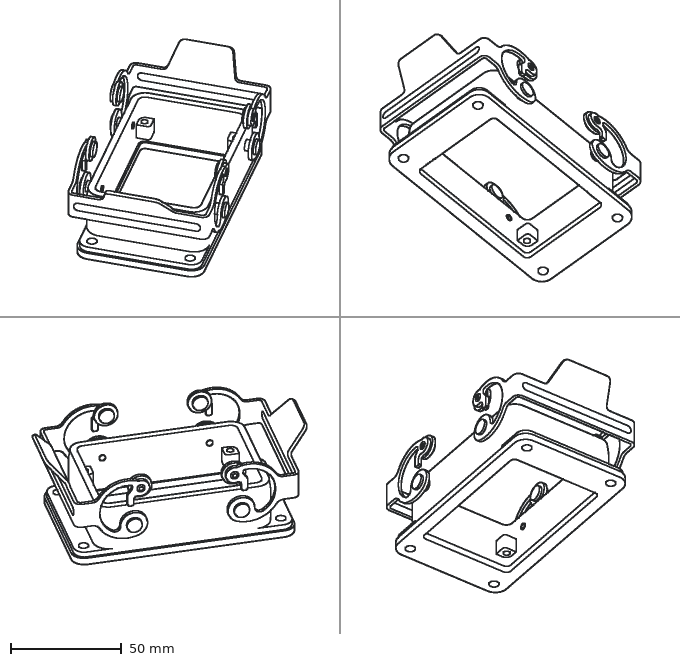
import cadquery as cq
import math

base_half_x = 29.8
base_half_y = 52.1
base_corner = 6.1
base_height = 3.4
flange_step = 1.1
flange_top = 6.0
screw_x = 23.1
screw_y = 46.0
screw_diameter = 4.5

body_half_x = base_half_x - flange_step
body_half_y = 41.4
body_corner = 7.2
shoulder_z = 23.3
rim_z = 28.0
rim_inset = 0.6
rim_width = 3.3
rim_crown = 0.5

opening_half_x = 23.7
opening_half_y = 36.1
opening_corner = 2.3
cavity_draft = 0.1
cavity_steps_z = (15.8, 22.5)

boss_x = 21.6
boss_y = 33.9
boss_reach_x = 3.5
boss_reach_y = 3.2
boss_bottom = 9.3
boss_top = 16.7
boss_corner = 1.5
boss_hole_diameter = 3.1

pivot_y = 25.0
pivot_z = 20.3
pin_radius = 2.6
head_radius = 3.5
head_height = 1.1
tail_radius = 1.5
tail_height = 0.4

lever_outer_x = 33.2
lever_outer_y = 52.4
sheet = 1.6
bend_radius = 3.1
strap_height = 12.3
strap_z = 28.7
lever_inner_x = lever_outer_x - sheet
strap_bottom = strap_z - strap_height / 2
strap_top = strap_z + strap_height / 2

bead_half_width = 2.1
bead_depth = 0.5
bead_half_length = 29.8

ring_y = 28.2
ring_outer = 15.3
ring_inner = 12.8
eye_radius = ring_outer - math.hypot(ring_y - pivot_y, strap_z - pivot_z)
arm_end_y = 21.9
arm_end_z = 39.2
arm_end_radius = 4.0
leg_back_y = 28.0
leg_front_y = 25.2
leg_bottom = 30.3
leg_shoulder = 36.5
strap_blend = 3.5
throat_blend = 2.5
hook_blend = 1.1
leg_blend = 1.8
leg_corner = 0.6

roller_radius = 5.5
roller_width = 1.6
button_radius = 3.5
button_height = 1.2
rivet_radius = 1.8
rivet_height = 0.5
rivet_tip_radius = 1.0
rivet_bevel = 0.4

tab_angle = 49.1
tab_tip_y = 61.4
tab_tip_half = 12.2
tab_side_slope = 0.36
tab_corner = 3.0
tab_flare = 2.7
tab_bend_radius = 1.7


def rounded_block(half_x, half_y, corner, bottom, top, inset=0.0):
    """Upright block with rounded corners, drawn in by `inset` towards its top."""
    height = top - bottom
    outline = cq.Sketch().rect(2 * half_x, 2 * half_y).vertices().fillet(corner)
    draft = math.degrees(math.atan2(inset, height))
    return cq.Workplane("XY").workplane(offset=bottom).placeSketch(outline).extrude(height, taper=draft)


def x_cylinder(radius, y, z, x_start, x_end):
    """Cylinder along X between two X positions."""
    return cq.Workplane("YZ", origin=(x_start, 0, 0)).center(y, z).circle(radius).extrude(x_end - x_start)


def both_sides(shape):
    """The shape on the +X side together with its mirror image on the -X side."""
    return shape.union(shape.mirror("YZ"))


def rim_crown_ring():
    """Low rounded crown that runs around the top of the housing wall."""
    inset = rim_inset + rim_width / 2
    side = body_half_x - inset
    end = body_half_y - inset
    corner = body_corner - inset
    path = (
        cq.Workplane("XY", origin=(0, 0, rim_z))
        .moveTo(side, 0)
        .lineTo(side, end - corner)
        .radiusArc((side - corner, end), -corner)
        .lineTo(corner - side, end)
        .radiusArc((-side, end - corner), -corner)
        .lineTo(-side, corner - end)
        .radiusArc((corner - side, -end), -corner)
        .lineTo(side - corner, -end)
        .radiusArc((side, corner - end), -corner)
        .close()
    )
    return (
        cq.Workplane("XZ")
        .moveTo(side - rim_width / 2, rim_z)
        .threePointArc((side, rim_z + rim_crown), (side + rim_width / 2, rim_z))
        .close()
        .sweep(path)
    )


def cavity():
    """Opening through the base and the space above its ledge, which widens in steps of draft."""
    lower_step, upper_step = cavity_steps_z
    top_inset = rim_inset + rim_width

    def room(inset, bottom, top, draft):
        half_x = body_half_x - inset
        half_y = body_half_y - inset
        return rounded_block(half_x, half_y, body_corner - inset, bottom, top, -draft)

    opening = rounded_block(opening_half_x, opening_half_y, opening_corner, 0, rim_z)
    lower_room = room(top_inset + 2 * cavity_draft, base_height, lower_step, 0)
    middle_room = room(top_inset + 2 * cavity_draft, lower_step, upper_step, cavity_draft)
    mouth = room(top_inset + cavity_draft, upper_step, rim_z, cavity_draft)
    return opening.union(lower_room).union(middle_room).union(mouth)


def corner_boss(x_sign, y_sign):
    """Screw boss that fills one corner of the cavity."""
    boss_inset = rim_inset + rim_width / 2
    inner_x = boss_x - boss_reach_x
    inner_y = boss_y - boss_reach_y
    outer_x = body_half_x - boss_inset
    outer_y = body_half_y - boss_inset
    corner_point = (x_sign * inner_x, y_sign * inner_y, boss_bottom)
    size_x = outer_x - inner_x
    size_y = outer_y - inner_y
    block = (
        cq.Workplane("XY", origin=(0, 0, boss_bottom))
        .center(x_sign * (inner_x + size_x / 2), y_sign * (inner_y + size_y / 2))
        .rect(size_x, size_y)
        .extrude(boss_top - boss_bottom)
        .edges("|Z")
        .edges(cq.NearestToPointSelector(corner_point))
        .fillet(boss_corner)
    )
    envelope = rounded_block(outer_x, outer_y, body_corner - boss_inset, boss_bottom, boss_top)
    hole = (
        cq.Workplane("XY", origin=(x_sign * boss_x, y_sign * boss_y, boss_bottom))
        .circle(boss_hole_diameter / 2)
        .extrude(boss_top - boss_bottom)
    )
    return block.intersect(envelope).cut(hole)


def pivot_pins(y):
    """Pair of headed pins that carry one lever, with their tails showing inside the wall."""
    shaft = x_cylinder(pin_radius, y, pivot_z, body_half_x - rim_width / 2, lever_outer_x)
    head = x_cylinder(head_radius, y, pivot_z, lever_outer_x, lever_outer_x + head_height)
    wall_face_x = body_half_x - rim_inset - rim_width - 2 * cavity_draft
    tail = x_cylinder(tail_radius, y, pivot_z, wall_face_x - tail_height, body_half_x)
    return both_sides(shaft.union(head).union(tail))


def make_housing():
    """Flanged frame with its corner bosses and pivot pins."""
    base = rounded_block(base_half_x, base_half_y, base_corner, 0, base_height)
    flange = rounded_block(
        base_half_x - flange_step, base_half_y - flange_step, base_corner - flange_step, 0, flange_top
    )
    walls = rounded_block(body_half_x, body_half_y, body_corner, 0, shoulder_z)
    rim = rounded_block(body_half_x, body_half_y, body_corner, shoulder_z, rim_z, rim_inset)
    body = base.union(flange).union(walls).union(rim).cut(cavity()).union(rim_crown_ring())
    screw_holes = (
        cq.Workplane("XY")
        .rect(2 * screw_x, 2 * screw_y, forConstruction=True)
        .vertices()
        .circle(screw_diameter / 2)
        .extrude(flange_top)
    )
    body = body.cut(screw_holes)
    for x_sign in (-1, 1):
        for y_sign in (-1, 1):
            body = body.union(corner_boss(x_sign, y_sign))
    for y_sign in (-1, 1):
        body = body.union(pivot_pins(y_sign * pivot_y))
    return body


def circle_crossing(y_a, z_a, radius_a, y_b, z_b, radius_b, side):
    """Crossing point of two circles, on the left (+1) or right (-1) of the way from a to b."""
    distance = math.hypot(y_b - y_a, z_b - z_a)
    along = (distance**2 + radius_a**2 - radius_b**2) / (2 * distance)
    across = side * math.sqrt(radius_a**2 - along**2)
    step_y = (y_b - y_a) / distance
    step_z = (z_b - z_a) / distance
    return (y_a + along * step_y - across * step_z, z_a + along * step_z + across * step_y)


def side_arm():
    """Flat side plate: ring segment, pivot eye and hooked arm end, on the +X side."""
    plane = cq.Workplane("YZ", origin=(lever_inner_x, 0, 0))

    def blend(plate, y, z, radius):
        point = (lever_inner_x + sheet / 2, y, z)
        return plate.edges("|X").edges(cq.NearestToPointSelector(point)).fillet(radius)

    gap_reach = 3 * ring_outer

    def gap_corner(towards_y, towards_z):
        direction = math.atan2(towards_z - strap_z, towards_y - ring_y)
        return (ring_y + gap_reach * math.cos(direction), strap_z + gap_reach * math.sin(direction))

    gap = (
        plane.moveTo(ring_y, strap_z)
        .lineTo(*gap_corner(pivot_y, pivot_z))
        .lineTo(ring_y - gap_reach, strap_z)
        .lineTo(*gap_corner(arm_end_y, arm_end_z))
        .close()
        .extrude(sheet)
    )
    strap_end_y = lever_outer_y - bend_radius
    strap_side = (
        plane.center((ring_y + strap_end_y) / 2, strap_z)
        .rect(strap_end_y - ring_y, strap_height)
        .extrude(sheet)
    )
    plate = (
        plane.center(ring_y, strap_z).circle(ring_outer).extrude(sheet)
        .cut(gap)
        .union(strap_side)
        .cut(plane.center(ring_y, strap_z).circle(ring_inner).extrude(sheet))
        .union(plane.center(pivot_y, pivot_z).circle(eye_radius).extrude(sheet))
        .union(plane.center(arm_end_y, arm_end_z).circle(arm_end_radius).extrude(sheet))
    )

    leg = (
        plane.moveTo(leg_front_y, leg_bottom)
        .lineTo(leg_back_y, leg_bottom)
        .lineTo(leg_back_y, leg_shoulder)
        .lineTo(arm_end_y + arm_end_radius, arm_end_z)
        .lineTo(arm_end_y, arm_end_z)
        .lineTo(leg_front_y, arm_end_z - arm_end_radius / 2)
        .close()
        .extrude(sheet)
        .edges("|X")
        .edges("<Z")
        .chamfer(leg_corner)
    )
    plate = plate.union(leg)

    strap_meet = ring_y + math.sqrt(ring_outer**2 - (strap_height / 2) ** 2)
    throat = circle_crossing(ring_y, strap_z, ring_inner, pivot_y, pivot_z, eye_radius, 1)
    hook = circle_crossing(ring_y, strap_z, ring_inner, arm_end_y, arm_end_z, arm_end_radius, -1)
    leg_root_drop = math.sqrt(arm_end_radius**2 - (leg_front_y - arm_end_y) ** 2)
    plate = blend(plate, strap_meet, strap_top, strap_blend)
    plate = blend(plate, strap_meet, strap_bottom, strap_blend)
    plate = blend(plate, *throat, throat_blend)
    plate = blend(plate, *hook, hook_blend)
    return blend(plate, leg_front_y, arm_end_z - leg_root_drop, leg_blend)


def roller():
    """Stepped roller inside the arm end, with its rivet head outside, on the +X side."""
    disc_end = lever_inner_x - roller_width
    disc = x_cylinder(roller_radius, arm_end_y, arm_end_z, disc_end, lever_inner_x)
    button = x_cylinder(button_radius, arm_end_y, arm_end_z, disc_end - button_height, disc_end)
    rivet = (
        x_cylinder(rivet_radius, arm_end_y, arm_end_z, lever_outer_x, lever_outer_x + rivet_height)
        .faces(">X")
        .chamfer(rivet_bevel, rivet_radius - rivet_tip_radius)
    )
    return disc.union(button).union(rivet)


def strap():
    """Back of the lever, bent round at both ends, without its bead."""
    outer = (
        cq.Workplane("XY", origin=(0, 0, strap_bottom))
        .rect(2 * lever_outer_x, 2 * lever_outer_y)
        .extrude(strap_height)
        .edges("|Z")
        .fillet(bend_radius)
    )
    inner = (
        cq.Workplane("XY", origin=(0, 0, strap_bottom))
        .rect(2 * lever_inner_x, 2 * (lever_outer_y - sheet))
        .extrude(strap_height)
        .edges("|Z")
        .fillet(bend_radius - sheet)
    )
    bent_end = (
        cq.Workplane("XY", origin=(0, lever_outer_y, strap_bottom))
        .rect(2 * lever_outer_x, 2 * bend_radius)
        .extrude(strap_height)
    )
    return outer.cut(inner).intersect(bent_end)


def bead_bar(face_y):
    """Bar with ball ends whose rounded side sinks `bead_depth` below the plane Y = face_y."""
    radius = (bead_half_width**2 + bead_depth**2) / (2 * bead_depth)
    axis_y = face_y + radius - bead_depth
    bar_half = bead_half_length - bead_half_width
    bar = x_cylinder(radius, axis_y, strap_z, -bar_half, bar_half)
    for x in (-bar_half, bar_half):
        bar = bar.union(cq.Workplane("XY", origin=(x, axis_y, strap_z)).sphere(radius))
    return bar


def press_bead(plain_strap):
    """Press the stiffening bead into the strap: a groove outside and a swelling inside."""
    inner_face = lever_outer_y - sheet
    backing = (
        cq.Workplane("XY", origin=(0, inner_face, strap_z))
        .box(2 * lever_inner_x, 2 * bead_depth, strap_height)
    )
    swelling = bead_bar(inner_face).intersect(backing)
    return plain_strap.union(swelling).cut(bead_bar(lever_outer_y))


def finger_tab():
    """Sheet tab that leans outwards from the top of the strap, narrowing to a rounded tip."""
    angle = math.radians(tab_angle)
    bend_y = lever_outer_y + tab_bend_radius
    inner_bend_radius = tab_bend_radius + sheet

    def on_bend(radius, turn):
        return (bend_y - radius * math.cos(turn), strap_top + radius * math.sin(turn))

    turn = math.pi / 2 - angle
    outer_bend_end = on_bend(tab_bend_radius, turn)
    inner_bend_end = on_bend(inner_bend_radius, turn)
    rise = (tab_tip_y - outer_bend_end[0]) * math.tan(angle)
    tip_outer_z = outer_bend_end[1] + rise
    tip_inner_y = tab_tip_y - sheet * math.sin(angle)
    tip_inner_z = tip_outer_z + sheet * math.cos(angle)
    base_half = tab_tip_half + tab_side_slope * (tip_inner_z - strap_top)

    leaning_sheet = (
        cq.Workplane("YZ")
        .moveTo(lever_outer_y, strap_top)
        .threePointArc(on_bend(tab_bend_radius, turn / 2), outer_bend_end)
        .lineTo(tab_tip_y, tip_outer_z)
        .lineTo(tip_inner_y, tip_inner_z)
        .lineTo(*inner_bend_end)
        .threePointArc(on_bend(inner_bend_radius, turn / 2), (lever_outer_y - sheet, strap_top))
        .close()
        .extrude(lever_inner_x, both=True)
    )

    side_angle = math.atan2(1, tab_side_slope)
    flare_reach = tab_flare * math.tan(side_angle / 2)
    flare_x = base_half - flare_reach * math.cos(side_angle)
    flare_z = strap_top + flare_reach * math.sin(side_angle)
    foot_x = base_half + flare_reach
    outline = (
        cq.Workplane("XZ")
        .moveTo(-foot_x, strap_top)
        .radiusArc((-flare_x, flare_z), -tab_flare)
        .lineTo(-tab_tip_half, tip_inner_z)
        .lineTo(tab_tip_half, tip_inner_z)
        .lineTo(flare_x, flare_z)
        .radiusArc((foot_x, strap_top), -tab_flare)
        .close()
        .extrude(-2 * tab_tip_y)
    )
    tab = leaning_sheet.intersect(outline)
    for x in (-tab_tip_half, tab_tip_half):
        tip_corner = (x, (tab_tip_y + tip_inner_y) / 2, (tip_outer_z + tip_inner_z) / 2)
        tab = tab.edges(cq.NearestToPointSelector(tip_corner)).fillet(tab_corner)
    return tab


def make_lever():
    """Locking lever on the +Y end of the housing."""
    sides = both_sides(side_arm().union(roller()))
    lever = press_bead(strap()).union(sides).union(finger_tab())
    for x_sign in (-1, 1):
        hole = x_cylinder(pin_radius, pivot_y, pivot_z, x_sign * lever_inner_x, x_sign * lever_outer_x)
        lever = lever.cut(hole)
    return lever


housing = make_housing()

lever = make_lever()
levers = [lever.rotate((0, 0, 0), (0, 0, 1), turn) for turn in (0, 180)]

result = cq.Compound.makeCompound([housing.val(), *[each.val() for each in levers]])